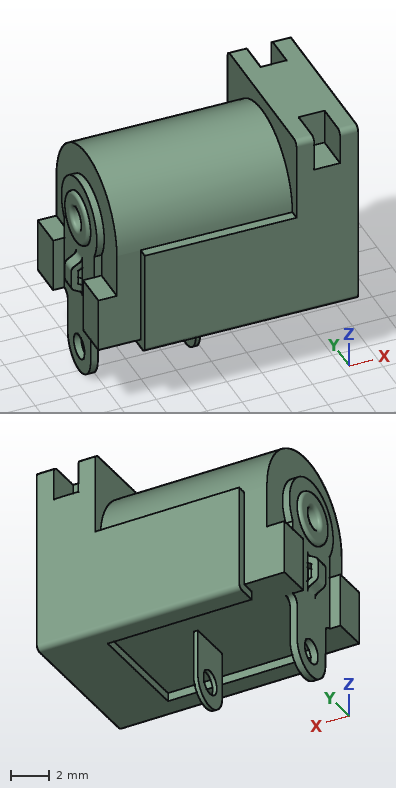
import cadquery as cq
import math


length = 14.5
width = 9.0
height = 11.0
edge_radius = 0.32
housing_front = 2.4
flange_front = 11.0

axis_height = 6.19
barrel_radius = 3.95
barrel_front = 1.05
block_bottom = 0.5
block_top = 3.66

groove_half_width = 3.18

notch_length = 1.47
notch_size = 2.03
notch_front = 12.0

terminal_thickness = 0.42
terminal_front = barrel_front - terminal_thickness
terminal_disc_radius = 2.3
terminal_half_width = 1.95
terminal_bottom = -3.5
tail_radius = 1.5
tail_hole_diameter = 1.4
tail_center_height = terminal_bottom + tail_radius
neck_radius = terminal_half_width - tail_radius

rivet_diameter = 3.0
rivet_height = 0.22
rivet_rounding = 0.18
rivet_bore_diameter = 1.25
rivet_bore_rounding = 0.2

bridge_width = 0.8
bridge_center_height = 2.72
bridge_flat_half = 0.46
bridge_bend_radius = 0.32
bridge_slope = math.radians(60)
bridge_thickness = 0.4

rear_terminal_front = 6.68
rear_terminal_thickness = 0.25
rear_tail_radius = 1.3


def box(x_range, y_range, z_range):
    """Box between the given pairs of limits."""
    corner = (x_range[0], y_range[0], z_range[0])
    size = [limits[1] - limits[0] for limits in (x_range, y_range, z_range)]
    return cq.Workplane("XY").box(*size, centered=False).translate(corner)


def cross_section(x):
    """Sketch plane at the given X; local axes are Y and Z."""
    return cq.Workplane("YZ", origin=(x, 0, 0))


def cylinder(x_start, x_end, z, diameter):
    """Cylinder along X, centred across the width."""
    return cross_section(x_start).center(0, z).circle(diameter / 2).extrude(x_end - x_start)


def make_housing():
    half = width / 2
    body = box((housing_front, length), (-half, half), (0, height)).edges("|X").fillet(edge_radius)
    body = body.cut(box((housing_front, flange_front), (-half, half), (axis_height, height)))
    groove = box(
        (housing_front, flange_front),
        (-groove_half_width, groove_half_width),
        (0, block_bottom),
    )
    body = body.cut(groove)
    for inner, outer in ((-half, notch_size - half), (half - notch_size, half)):
        notch = box(
            (notch_front, notch_front + notch_length),
            (inner, outer),
            (height - notch_size, height),
        )
        body = body.cut(notch)
    return body


def make_barrel():
    barrel = (
        cross_section(barrel_front)
        .moveTo(-barrel_radius, block_bottom)
        .lineTo(barrel_radius, block_bottom)
        .lineTo(barrel_radius, axis_height)
        .threePointArc((0, axis_height + barrel_radius), (-barrel_radius, axis_height))
        .close()
        .extrude(flange_front - barrel_front)
    )
    for inner, outer in (
        (-barrel_radius, -terminal_half_width),
        (terminal_half_width, barrel_radius),
    ):
        barrel = barrel.union(box((0, barrel_front), (inner, outer), (block_bottom, block_top)))
    return barrel


def make_front_terminal():
    neck_bottom = block_bottom - neck_radius
    neck_offset = neck_radius * math.sqrt(0.5)
    neck_mid_y = terminal_half_width - neck_offset
    neck_mid_z = neck_bottom + neck_offset
    plate = (
        cross_section(terminal_front)
        .moveTo(terminal_half_width, axis_height)
        .lineTo(terminal_half_width, block_bottom)
        .threePointArc((neck_mid_y, neck_mid_z), (tail_radius, neck_bottom))
        .lineTo(tail_radius, tail_center_height)
        .threePointArc((0, terminal_bottom), (-tail_radius, tail_center_height))
        .lineTo(-tail_radius, neck_bottom)
        .threePointArc((-neck_mid_y, neck_mid_z), (-terminal_half_width, block_bottom))
        .lineTo(-terminal_half_width, axis_height)
        .close()
        .extrude(terminal_thickness)
    )
    disc = cylinder(terminal_front, barrel_front, axis_height, 2 * terminal_disc_radius)
    return plate.union(disc)


def add_rivet(terminal):
    rivet_front = terminal_front - rivet_height
    head = cylinder(rivet_front, terminal_front, axis_height, rivet_diameter)
    head = head.faces("<X").edges().fillet(rivet_rounding)
    bore = cylinder(rivet_front, barrel_front, axis_height, rivet_bore_diameter)
    riveted = terminal.union(head).cut(bore)
    mouth = cq.selectors.RadiusNthSelector(0)
    return riveted.faces("<X").edges(mouth).fillet(rivet_bore_rounding)


def add_bridge(terminal):
    """Raise the bridge out of the terminal and open the space behind it."""
    sin_slope = math.sin(bridge_slope)
    cos_slope = math.cos(bridge_slope)
    bend_depth = bridge_bend_radius * (1 - cos_slope)
    bend_rise = bridge_bend_radius * sin_slope
    half_bend_depth = bridge_bend_radius * (1 - math.cos(bridge_slope / 2))
    half_bend_rise = bridge_bend_radius * math.sin(bridge_slope / 2)
    slope_depth = terminal_front - 2 * bend_depth
    slope_end = bridge_flat_half + bend_rise + slope_depth * cos_slope / sin_slope
    foot = slope_end + bend_rise

    def side(direction):
        """Bend points from the outer flat to the foot, as (X, Z) on one side of the middle."""
        depth_and_offset = [
            (0, bridge_flat_half),
            (half_bend_depth, bridge_flat_half + half_bend_rise),
            (bend_depth, bridge_flat_half + bend_rise),
            (bend_depth + slope_depth, slope_end),
            (terminal_front - half_bend_depth, foot - half_bend_rise),
            (terminal_front, foot),
        ]
        return [(x, direction * z) for x, z in depth_and_offset]

    upper = side(1)
    lower = side(-1)
    plane = cq.Workplane("XZ", origin=(0, bridge_width / 2, bridge_center_height))
    outer = (
        plane.moveTo(*lower[0])
        .lineTo(*upper[0])
        .threePointArc(upper[1], upper[2])
        .lineTo(*upper[3])
        .threePointArc(upper[4], upper[5])
        .lineTo(barrel_front, foot)
        .lineTo(barrel_front, -foot)
        .lineTo(*lower[5])
        .threePointArc(lower[4], lower[3])
        .lineTo(*lower[2])
        .threePointArc(lower[1], lower[0])
        .close()
        .extrude(bridge_width)
    )

    slope_x = bend_depth + bridge_thickness * cos_slope
    slope_z = bridge_flat_half + bend_rise - bridge_thickness * sin_slope
    front_half = slope_z + (bridge_thickness - slope_x) * cos_slope / sin_slope
    back_half = slope_z + (barrel_front - slope_x) * cos_slope / sin_slope
    opening = (
        plane.moveTo(bridge_thickness, -front_half)
        .lineTo(bridge_thickness, front_half)
        .lineTo(barrel_front, back_half)
        .lineTo(barrel_front, -back_half)
        .close()
        .extrude(bridge_width)
    )
    return terminal.union(outer).cut(opening)


def make_rear_terminal():
    tail_center = terminal_bottom + rear_tail_radius
    return (
        cross_section(rear_terminal_front)
        .moveTo(rear_tail_radius, block_bottom)
        .lineTo(rear_tail_radius, tail_center)
        .threePointArc((0, terminal_bottom), (-rear_tail_radius, tail_center))
        .lineTo(-rear_tail_radius, block_bottom)
        .close()
        .extrude(rear_terminal_thickness)
    )


front_terminal = add_bridge(add_rivet(make_front_terminal()))
body = make_housing().union(make_barrel())
jack = body.union(front_terminal).union(make_rear_terminal())

tail_holes = cylinder(0, length, tail_center_height, tail_hole_diameter)
result = jack.cut(tail_holes)